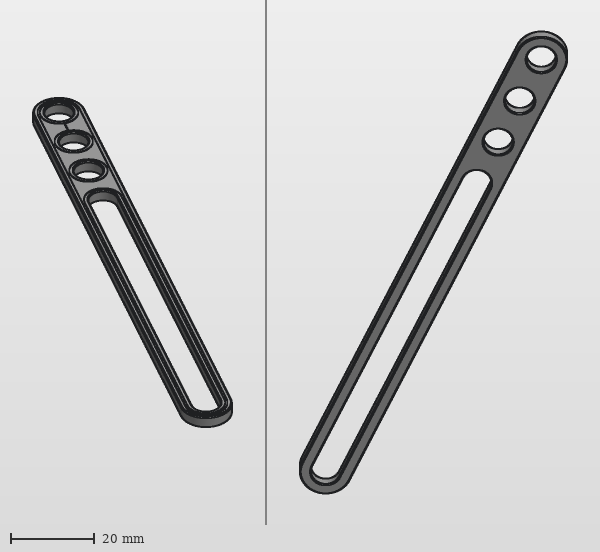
import cadquery as cq

length = 137.5
pitch_count = 11
pitch = length / pitch_count
width = pitch
thickness = pitch / 4

hole_gap = 5.5
hole_diameter = pitch - hole_gap
collar_diameter = 9.2
hole_count = 3
rim_width = 1.1
recess_depth = 0.2

bevel = 0.3

rib_width = 0.1

first_hole_x = (width - length) / 2
hole_xs = [first_hole_x + i * pitch for i in range(hole_count)]
slot_start_x = first_hole_x + hole_count * pitch
slot_end_x = (length - width) / 2
slot_middle_x = (slot_start_x + slot_end_x) / 2
slot_travel = slot_end_x - slot_start_x

recess_floor_z = thickness - recess_depth


def rounded_bar(middle_x, end_to_end, diameter, bottom_z, height):
    """Upright prism with parallel sides and full round ends."""
    return (
        cq.Workplane("XY", origin=(middle_x, 0, bottom_z))
        .slot2D(end_to_end, diameter)
        .extrude(height)
    )


def openings(diameter, bottom_z, height):
    """Round prisms at the holes and a long one at the slot, all of one diameter."""
    round_ones = (
        cq.Workplane("XY", origin=(0, 0, bottom_z))
        .pushPoints([(x, 0) for x in hole_xs])
        .circle(diameter / 2)
        .extrude(height)
    )
    long_one = rounded_bar(slot_middle_x, slot_travel + diameter, diameter, bottom_z, height)
    return round_ones.union(long_one)


def recess():
    """Shallow pocket inside the outer rim that leaves the collars and the rib standing."""
    pocket = rounded_bar(0, length - 2 * rim_width, width - 2 * rim_width, recess_floor_z, recess_depth)
    rib = (
        cq.Workplane("XY", origin=((hole_xs[0] + hole_xs[1]) / 2, 0, recess_floor_z))
        .rect(pitch, rib_width)
        .extrude(recess_depth)
    )
    return pocket.cut(openings(collar_diameter, recess_floor_z, recess_depth)).cut(rib)


blank = (
    rounded_bar(0, length, width, 0, thickness)
    .cut(openings(hole_diameter, 0, thickness))
    .faces("<Z or >Z")
    .edges()
    .chamfer(bevel)
)
result = blank.cut(recess())